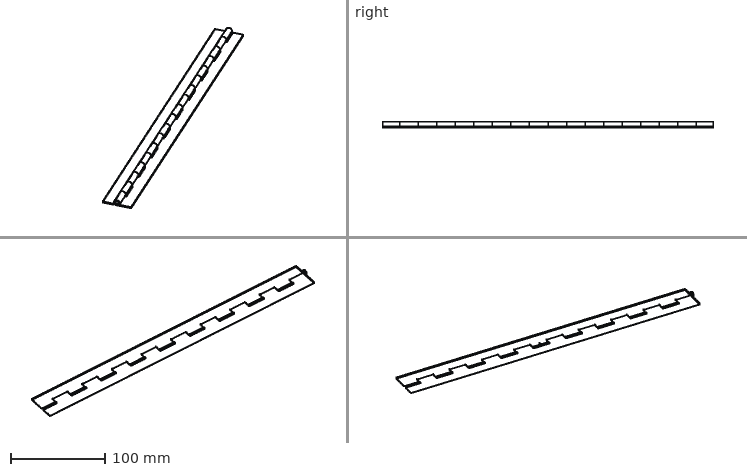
import cadquery as cq

hinge_length = 350.0
open_width = 32.0
knuckle_diameter = 6.7
leaf_thickness = 1.6
knuckle_count = 18
knuckle_pitch = 19.6
notch_reach = 4.0
curl_gap = 0.1

knuckle_radius = knuckle_diameter / 2
pin_radius = knuckle_radius - leaf_thickness
half_width = open_width / 2
axis_height = knuckle_radius
front_y = -hinge_length / 2
back_y = hinge_length / 2

end_knuckle_length = (hinge_length - (knuckle_count - 2) * knuckle_pitch) / 2
first_seam_y = front_y + end_knuckle_length
seams = [first_seam_y + i * knuckle_pitch for i in range(knuckle_count - 1)]
knuckle_bounds = [front_y, *seams, back_y]


def rod(radius, start_y, end_y):
    """Round bar on the hinge axis between two Y positions."""
    section = cq.Workplane("XZ", origin=(0, start_y, axis_height)).circle(radius)
    return section.extrude(start_y - end_y)


def block(start_x, end_x, start_y, end_y, start_z, height):
    """Rectangular block between two X and two Y positions, standing on start_z."""
    box = cq.Workplane("XY").box(end_x - start_x, end_y - start_y, height, centered=False)
    return box.translate((start_x, start_y, start_z))


def knuckle(start_y, end_y):
    """Rolled barrel tangent to the leaf bottom, ending just above the leaf on the +X side."""
    gap = block(0, knuckle_radius, start_y, end_y, leaf_thickness, curl_gap)
    return rod(knuckle_radius, start_y, end_y).cut(gap)


def leaf(first_knuckle):
    """Leaf on the +X side with every second knuckle, notched where the other leaf's knuckles turn."""
    body = block(0, half_width, front_y, back_y, 0, leaf_thickness)
    for index in range(knuckle_count):
        start_y, end_y = knuckle_bounds[index:index + 2]
        if index % 2 == first_knuckle:
            body = body.union(knuckle(start_y, end_y))
        else:
            body = body.cut(block(0, notch_reach, start_y, end_y, 0, leaf_thickness))
    return body.cut(rod(pin_radius, front_y, back_y)).solids()


right_leaf = leaf(first_knuckle=0)
left_leaf = leaf(first_knuckle=1).mirror("YZ")
pin = rod(pin_radius, front_y, back_y)

result = cq.Compound.makeCompound([right_leaf.val(), left_leaf.val(), pin.val()])